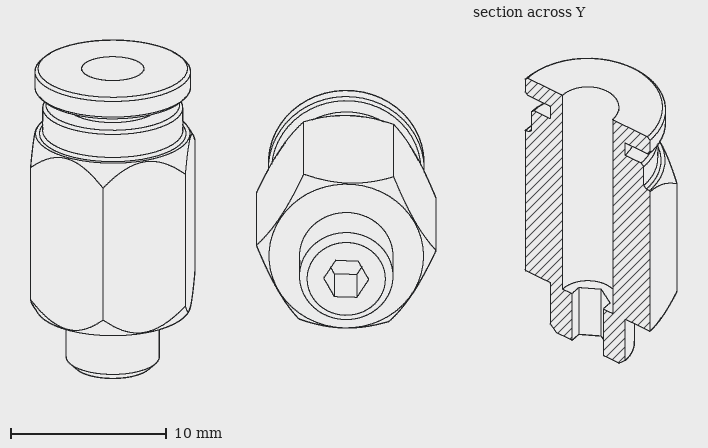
import cadquery as cq
import math

TOTAL_HEIGHT = 20.5

STUD_DIAMETER = 6.0
STUD_LENGTH = 4.0
STUD_CHAMFER = 0.5

HEX_ACROSS_FLATS = 10.0
HEX_LENGTH = 12.0
HEX_END_DIAMETER = 9.92
HEX_CONE_ANGLE = 60

COLLAR_DIAMETER = 9.0
COLLAR_LENGTH = 2.0
COLLAR_BEVEL = 0.2

NECK_DIAMETER = STUD_DIAMETER
CAP_DIAMETER = HEX_ACROSS_FLATS
CAP_THICKNESS = 1.5
CAP_CHAMFER = 0.2

BORE_DIAMETER = 4.0
SOCKET_ACROSS_FLATS = 2.5

hex_bottom = STUD_LENGTH
hex_top = hex_bottom + HEX_LENGTH
collar_top = hex_top + COLLAR_LENGTH
cap_bottom = TOTAL_HEIGHT - CAP_THICKNESS
bore_floor = hex_bottom


def hex_corner_diameter(across_flats):
    return across_flats / math.cos(math.radians(30))


def hex_prism(across_flats, bottom, top):
    """Hexagonal prism with flats facing +X and -X and corners on the Y axis."""
    prism = cq.Workplane("XY").polygon(6, hex_corner_diameter(across_flats)).extrude(top - bottom)
    return prism.rotate((0, 0, 0), (0, 0, 1), 30).translate((0, 0, bottom))


def cylinder(diameter, bottom, top):
    """Cylinder about the Z axis between two levels."""
    return cq.Workplane("XY", origin=(0, 0, bottom)).circle(diameter / 2).extrude(top - bottom)


def turned(profile):
    """Solid of revolution about Z from (radius, height) points that start and end on the axis."""
    return cq.Workplane("XZ").polyline(profile).close().revolve(360, (0, 0, 0), (0, 1, 0))


def hex_body():
    """Hexagonal body whose corners are turned down conically at both ends."""
    end_radius = HEX_END_DIAMETER / 2
    corner_radius = hex_corner_diameter(HEX_ACROSS_FLATS) / 2
    cone_height = (corner_radius - end_radius) * math.tan(math.radians(HEX_CONE_ANGLE))
    envelope = turned([
        (0, hex_bottom),
        (end_radius, hex_bottom),
        (corner_radius, hex_bottom + cone_height),
        (corner_radius, hex_top - cone_height),
        (end_radius, hex_top),
        (0, hex_top),
    ])
    return hex_prism(HEX_ACROSS_FLATS, hex_bottom, hex_top).intersect(envelope)


def collar():
    """Collar above the hexagon, chamfered on top and flared where it meets the hexagon."""
    radius = COLLAR_DIAMETER / 2
    return turned([
        (0, hex_top),
        (radius + COLLAR_BEVEL, hex_top),
        (radius, hex_top + COLLAR_BEVEL),
        (radius, collar_top - COLLAR_BEVEL),
        (radius - COLLAR_BEVEL, collar_top),
        (0, collar_top),
    ])


stud = cylinder(STUD_DIAMETER, 0, hex_bottom).faces("<Z").chamfer(STUD_CHAMFER)
neck = cylinder(NECK_DIAMETER, collar_top, cap_bottom)
cap = cylinder(CAP_DIAMETER, cap_bottom, TOTAL_HEIGHT).faces("<Z or >Z").chamfer(CAP_CHAMFER)
body = stud.union(hex_body()).union(collar()).union(neck).union(cap)

tube_bore = cylinder(BORE_DIAMETER, bore_floor, TOTAL_HEIGHT)
hex_socket = hex_prism(SOCKET_ACROSS_FLATS, 0, bore_floor)

result = body.cut(tube_bore).cut(hex_socket)